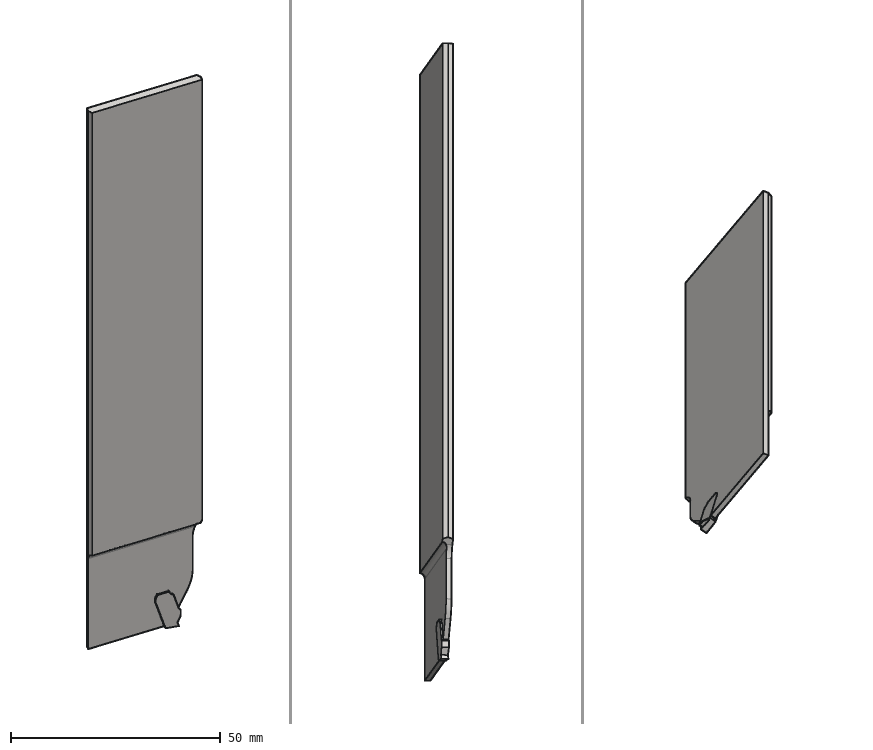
import cadquery as cq

length = 150.0
width = 31.2
thickness = 2.5
ridge_x = thickness / 2
edge_bevel = 0.33
blade_bottom = 0.9

shoulder_z = 28.4
neck_y = 29.0
neck_top_z = 23.7
neck_bottom_z = 13.8

relief_thickness = 1.4
relief_top_z = 27.3
relief_radius = thickness - relief_thickness

insert_thickness = 1.8
insert_top_z = 10.4
jaw_tip = (24.9, 4.8)
front_y = 25.4
tip_y = 24.9
heel = (20.8, 1.4)

facet_top_z = 3.2
facet_corner_y = 24.0
facet_end = (21.9, 1.0)
facet_depth = 0.3


def make_beveled_bar():
    """Full-length bar whose two long edges are V-shaped ridges."""
    return (
        cq.Workplane("XY")
        .moveTo(0, edge_bevel)
        .lineTo(ridge_x, 0)
        .lineTo(thickness, edge_bevel)
        .lineTo(thickness, width - edge_bevel)
        .lineTo(ridge_x, width)
        .lineTo(0, width - edge_bevel)
        .close()
        .extrude(length)
    )


def make_outline_prism():
    """Side outline of the blade with its narrowed neck and sloping jaw."""
    return (
        cq.Workplane("YZ")
        .moveTo(0, blade_bottom)
        .lineTo(0, length)
        .lineTo(width, length)
        .lineTo(width, shoulder_z)
        .lineTo(30.0, 26.8)
        .threePointArc((29.4, 25.6), (neck_y, neck_top_z))
        .lineTo(neck_y, neck_bottom_z)
        .threePointArc((28.5, 11.4), (27.6, 9.3))
        .lineTo(*jaw_tip)
        .lineTo(heel[0], blade_bottom)
        .close()
        .extrude(thickness)
    )


def make_relief_cutter():
    """Volume that thins the lower blade, ending in a rounded run-out."""
    return (
        cq.Workplane("XZ")
        .moveTo(relief_thickness, 0)
        .lineTo(thickness, 0)
        .lineTo(thickness, relief_top_z)
        .radiusArc((relief_thickness, relief_top_z - relief_radius), -relief_radius)
        .close()
        .extrude(-width)
    )


def make_insert_prism():
    """Insert outline, as deep as the whole blade thickness."""
    return (
        cq.Workplane("YZ")
        .moveTo(tip_y, 0)
        .lineTo(21.3, 0.5)
        .lineTo(*heel)
        .lineTo(18.6, 8.0)
        .threePointArc((18.5, 9.5), (19.0, insert_top_z))
        .lineTo(22.2, insert_top_z)
        .threePointArc((22.8, 9.5), (23.4, 9.2))
        .lineTo(*jaw_tip)
        .lineTo(front_y, 4.4)
        .lineTo(front_y, 2.7)
        .lineTo(24.5, 1.0)
        .close()
        .extrude(thickness)
    )


def make_facet_cutter():
    """Wedge that deepens from the front edge towards the facet's diagonal edge."""
    wedge = (
        cq.Workplane("XY")
        .moveTo(0, facet_end[0])
        .lineTo(facet_depth, facet_end[0])
        .lineTo(0, front_y)
        .close()
        .extrude(facet_top_z)
    )
    boundary = (
        cq.Workplane("YZ")
        .moveTo(front_y, facet_top_z)
        .lineTo(facet_corner_y, facet_top_z)
        .lineTo(*facet_end)
        .lineTo(facet_end[0], 0)
        .lineTo(front_y, 0)
        .close()
        .extrude(facet_depth)
    )
    return wedge.intersect(boundary)


def make_blade():
    blade = make_beveled_bar().intersect(make_outline_prism())
    return blade.cut(make_relief_cutter()).cut(make_insert_prism())


def make_insert():
    thickness_limit = cq.Workplane("XY").box(insert_thickness, width, length, centered=False)
    return make_insert_prism().intersect(thickness_limit).cut(make_facet_cutter())


blade = make_blade()
cutting_insert = make_insert()

result = cq.Compound.makeCompound([blade.solids().val(), cutting_insert.solids().val()])